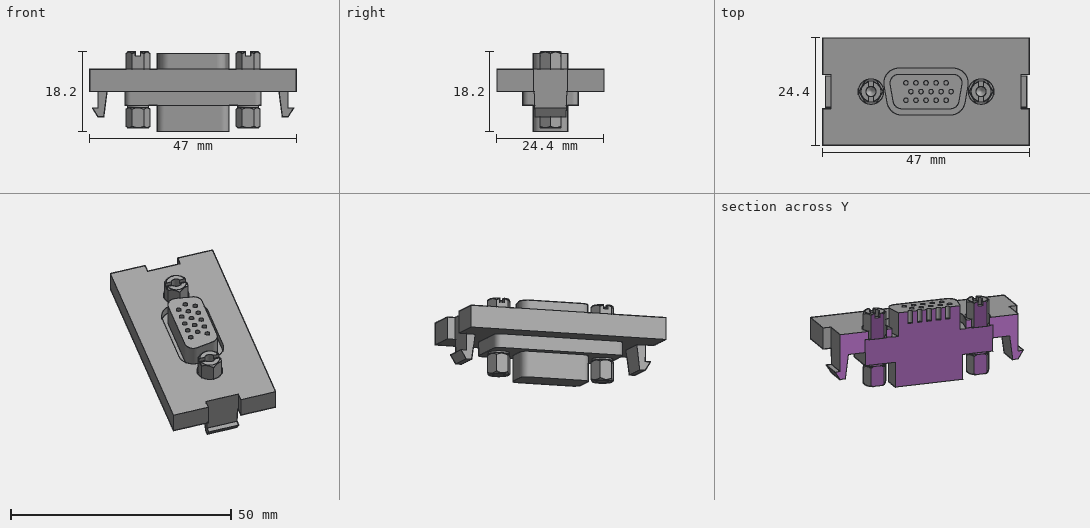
import cadquery as cq
import math

PLATE_TOP = 0.0
FLANGE_TOP = -2.0
PLATE_BOTTOM = -5.07
FLANGE_BOTTOM = -8.2
WASHER_BOTTOM = -8.65
NUT_BOTTOM = -13.4
CLIP_BOTTOM = -10.8
HOOK_Z = -8.8
SHELL_TOP = 3.6
SCREW_TOP = 4.0
SOCKET_BOTTOM = -14.15

END_SIDES = (-1, 1)

PLATE_LENGTH = 47.0
PLATE_WIDTH = 24.4
NOTCH_DEPTH = 1.9
NOTCH_WIDTH = 7.75

CLIP_OUTER_X = PLATE_LENGTH / 2 - NOTCH_DEPTH
CLIP_ROOT_INNER_X = 19.5
CLIP_TIP_INNER_X = 20.25
HOOK_X = 22.9
CLIP_TIP_WIDTH = 7.05

FLANGE_LENGTH = 30.9
FLANGE_WIDTH = 12.65
FLANGE_RADIUS = 1.3
SHELL_LENGTH = 16.35
SHELL_WIDTH = 7.85
SHELL_RADIUS = 2.0
SHELL_SIDE_ANGLE = 10.0
SHELL_CLEARANCE = 1.4
SOCKET_RADIUS = 1.6

CONTACT_DIAMETER = 1.05
CONTACT_DEPTH = 2.8
CONTACT_ROW_GAP = 1.97
CONTACTS_PER_ROW = 5
CONTACT_ROW_LENGTH = 9.1
CONTACT_PITCH = CONTACT_ROW_LENGTH / (CONTACTS_PER_ROW - 1)

SCREW_X = 12.5
HEX_FLATS = 4.75
HEX_CORNERS = HEX_FLATS / math.cos(math.pi / 6)
HEX_END_DIAMETER = 4.5
HEX_CHAMFER = 0.45
SHANK_DIAMETER = 2.8
SCREW_CLEARANCE_DIAMETER = 5.8
SCREW_SLOT_WIDTH = 1.15
SCREW_SLOT_DEPTH = 1.0
SCREW_BORE_DIAMETER = 2.3
SCREW_BORE_DEPTH = 4.7
DRILL_TIP_ANGLE = 118.0
WASHER_DIAMETER = 4.8


def cylinder(x, diameter, bottom, top):
    """Upright cylinder centred on (x, 0)."""
    return cq.Workplane("XY", origin=(x, 0, bottom)).circle(diameter / 2).extrude(top - bottom)


def rounded_block(length, width, radius, bottom, top):
    """Upright block on the Z axis with rounded vertical edges."""
    block = cq.Workplane("XY", origin=(0, 0, bottom)).rect(length, width).extrude(top - bottom)
    return block.edges("|Z").fillet(radius)


def d_block(clearance, bottom, top):
    """D-shaped prism, wider toward +Y, standing off the shell outline by the clearance."""
    angle = math.radians(SHELL_SIDE_ANGLE)
    arc_centre_x = SHELL_LENGTH / 2 - SHELL_RADIUS
    wide_x = arc_centre_x + SHELL_RADIUS * (1 + math.sin(angle)) / math.cos(angle)
    narrow_x = wide_x - SHELL_WIDTH * math.tan(angle)
    wide_x += clearance * (1 + math.sin(angle)) / math.cos(angle)
    narrow_x += clearance * (1 - math.sin(angle)) / math.cos(angle)
    y = SHELL_WIDTH / 2 + clearance
    corners = [(-wide_x, y), (wide_x, y), (narrow_x, -y), (-narrow_x, -y)]
    block = cq.Workplane("XY", origin=(0, 0, bottom)).polyline(corners).close().extrude(top - bottom)
    return block.edges("|Z").fillet(SHELL_RADIUS + clearance)


def hex_bar(x, bottom, top):
    """Upright hexagonal bar centred on (x, 0), with corners on the X axis."""
    return cq.Workplane("XY", origin=(x, 0, bottom)).polygon(6, HEX_CORNERS).extrude(top - bottom)


def chamfer_envelope(x, bottom, top, chamfer_bottom):
    """Turned envelope around a hexagonal bar that bevels its corners at the top and, if asked, below."""
    end_radius = HEX_END_DIAMETER / 2
    full_radius = HEX_CORNERS / 2
    profile = [(0, top), (end_radius, top), (full_radius, top - HEX_CHAMFER)]
    if chamfer_bottom:
        profile += [(full_radius, bottom + HEX_CHAMFER), (end_radius, bottom)]
    else:
        profile += [(full_radius, bottom)]
    profile += [(0, bottom)]
    return cq.Workplane("XZ", origin=(x, 0, 0)).polyline(profile).close().revolve(360, (0, 0), (0, 1))


def snap_clip(side):
    """Hooked clip at one end of the plate, narrowing downward."""
    profile = [
        (CLIP_OUTER_X, PLATE_BOTTOM),
        (CLIP_OUTER_X, HOOK_Z),
        (HOOK_X, HOOK_Z),
        (CLIP_OUTER_X, CLIP_BOTTOM),
        (CLIP_TIP_INNER_X, CLIP_BOTTOM),
        (CLIP_ROOT_INNER_X, PLATE_BOTTOM),
    ]
    profile = [(side * x, z) for x, z in profile]
    hook = cq.Workplane("XZ").polyline(profile).close().extrude(NOTCH_WIDTH / 2, both=True)
    taper = [
        (-NOTCH_WIDTH / 2, PLATE_TOP),
        (NOTCH_WIDTH / 2, PLATE_TOP),
        (CLIP_TIP_WIDTH / 2, CLIP_BOTTOM),
        (-CLIP_TIP_WIDTH / 2, CLIP_BOTTOM),
    ]
    return hook.intersect(cq.Workplane("YZ").polyline(taper).close().extrude(PLATE_LENGTH / 2, both=True))


def flange_block(bottom):
    """Connector flange from its top face down to the given height."""
    return rounded_block(FLANGE_LENGTH, FLANGE_WIDTH, FLANGE_RADIUS, bottom, FLANGE_TOP)


def make_plate():
    """Notched plate with clips, a recess for the flange below and openings for shell and screws above."""
    thickness = PLATE_TOP - PLATE_BOTTOM
    plate = cq.Workplane("XY", origin=(0, 0, PLATE_BOTTOM)).rect(PLATE_LENGTH, PLATE_WIDTH).extrude(thickness)
    notches = (
        cq.Workplane("XY", origin=(0, 0, PLATE_BOTTOM))
        .pushPoints([(-PLATE_LENGTH / 2, 0), (PLATE_LENGTH / 2, 0)])
        .rect(2 * NOTCH_DEPTH, NOTCH_WIDTH)
        .extrude(thickness)
    )
    plate = plate.cut(notches).cut(flange_block(PLATE_BOTTOM))
    plate = plate.cut(d_block(SHELL_CLEARANCE, FLANGE_TOP, PLATE_TOP))
    for side in END_SIDES:
        plate = plate.cut(cylinder(side * SCREW_X, SCREW_CLEARANCE_DIAMETER, FLANGE_TOP, PLATE_TOP))
    for side in END_SIDES:
        plate = plate.union(snap_clip(side))
    return plate


def contact_holes():
    """Three rows of blind holes; the middle row is shifted by half a pitch."""
    points = []
    for row in (-1, 0, 1):
        shift = CONTACT_PITCH / 2 if row == 0 else 0
        for column in range(CONTACTS_PER_ROW):
            x = column * CONTACT_PITCH - CONTACT_ROW_LENGTH / 2 + shift
            points.append((x, row * CONTACT_ROW_GAP))
    holes = cq.Workplane("XY", origin=(0, 0, SHELL_TOP)).pushPoints(points)
    return holes.circle(CONTACT_DIAMETER / 2).extrude(-CONTACT_DEPTH)


def make_connector():
    """Flange with the D-shaped shell above and the rounded socket below."""
    connector = flange_block(FLANGE_BOTTOM)
    connector = connector.union(d_block(0, FLANGE_TOP, SHELL_TOP))
    connector = connector.union(
        rounded_block(SHELL_LENGTH, SHELL_WIDTH, SOCKET_RADIUS, SOCKET_BOTTOM, FLANGE_BOTTOM)
    )
    for side in END_SIDES:
        connector = connector.cut(cylinder(side * SCREW_X, SHANK_DIAMETER, FLANGE_BOTTOM, FLANGE_TOP))
    return connector.cut(contact_holes())


def drilled_bore(x):
    """Blind bore with a conical bottom, open at the screw top."""
    radius = SCREW_BORE_DIAMETER / 2
    cone_start = SCREW_TOP - SCREW_BORE_DEPTH
    cone_tip = cone_start - radius / math.tan(math.radians(DRILL_TIP_ANGLE / 2))
    profile = [(0, SCREW_TOP), (radius, SCREW_TOP), (radius, cone_start), (0, cone_tip)]
    return cq.Workplane("XZ", origin=(x, 0, 0)).polyline(profile).close().revolve(360, (0, 0), (0, 1))


def make_jackscrew(x):
    """Slotted hexagonal head on the flange, with a shank through flange, washer and nut."""
    head = hex_bar(x, FLANGE_TOP, SCREW_TOP)
    head = head.intersect(chamfer_envelope(x, FLANGE_TOP, SCREW_TOP, chamfer_bottom=False))
    slot = (
        cq.Workplane("XY", origin=(x, 0, SCREW_TOP))
        .rect(SCREW_SLOT_WIDTH, HEX_CORNERS)
        .extrude(-SCREW_SLOT_DEPTH)
    )
    shank = cylinder(x, SHANK_DIAMETER, NUT_BOTTOM, FLANGE_TOP)
    return head.union(shank).cut(slot).cut(drilled_bore(x))


def make_washer(x):
    """Plain ring between the flange and the nut."""
    washer = cylinder(x, WASHER_DIAMETER, WASHER_BOTTOM, FLANGE_BOTTOM)
    return washer.cut(cylinder(x, SHANK_DIAMETER, WASHER_BOTTOM, FLANGE_BOTTOM))


def make_nut(x):
    """Hexagonal nut bevelled at both ends."""
    nut = hex_bar(x, NUT_BOTTOM, WASHER_BOTTOM)
    nut = nut.intersect(chamfer_envelope(x, NUT_BOTTOM, WASHER_BOTTOM, chamfer_bottom=True))
    return nut.cut(cylinder(x, SHANK_DIAMETER, NUT_BOTTOM, WASHER_BOTTOM))


plate = make_plate()
connector = make_connector()
fasteners = []
for side in END_SIDES:
    x = side * SCREW_X
    fasteners += [make_jackscrew(x).solids().val(), make_washer(x).solids().val(), make_nut(x).solids().val()]

result = cq.Compound.makeCompound([plate.solids().val(), connector.solids().val(), *fasteners])